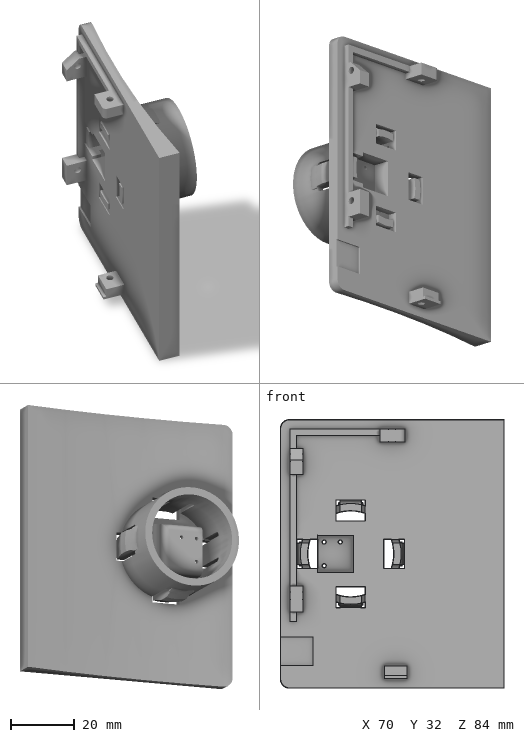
import cadquery as cq
import math

plate_width = 70.0
plate_height = 84.0
corner_radius = 2.9
cup_axis_thickness = 2.85
back_curve_radius = 289.8
recess_depth = 0.6
recess_width = 10.2
recess_bottom = 7.1
recess_top = 16.05

cup_x = 22.0
cup_z = plate_height / 2
cup_outer_diameter = 31.5
cup_inner_diameter = 26.9
cup_end = 25.0
arm_half_width = 3.4
arm_root_half_width = 3.8
arm_bulge_radius = 17.2
bulge_start = 17.5
bulge_flat_back = 11.5
bulge_flat_front = 7.5
slot_width = 1.4
slot_end = 14.95
arm_angles = [0, 90, 180, 270]

window_width = 9.1
window_inner = 10.3
window_outer = 16.8

pocket_left = cup_x - window_inner
pocket_right = 22.9
pocket_half_height = 5.8
box_wall = 2.1
box_edge_radius = 2.0
pocket_depth = 5.6
box_step_width = 2.3
box_step_back = 5.0
box_step_radius = 1.7
pin_hole_diameter = 1.2
pin_hole_places = [(13.7, 3.7), (18.7, 3.7), (13.7, -3.7)]

rib_inset = 3.0
rib_width = 2.0
rib_height = 1.85
left_rib_bottom = 20.8
lug_height = 6.7
lug_hole_diameter = 2.3
lug_hole_height = 3.0
side_lug_width = 4.0
side_lug_length = 8.1
lower_lug_bottom = 23.85
lower_lug_hole_z = 28.9
upper_lug_bottom = 66.9
upper_lug_hole_z = 72.1
upper_lug_bevel_height = 2.7
upper_lug_bevel_z = 71.3
top_lug_left = 31.1
top_lug_right = 39.0
end_lug_thickness = 3.95
top_lug_radius = 1.35
bottom_lug_left = 32.5
bottom_lug_right = 39.65
bottom_lug_height = 6.05
lip_height = 7.0
lip_thickness = 0.9
end_lug_hole_x = 34.95


def block(x_range, y_range, z_range):
    """Box between two X, two Y and two Z values."""
    size = [b - a for a, b in (x_range, y_range, z_range)]
    corner = (x_range[0], y_range[0], z_range[0])
    return cq.Workplane("XY").box(*size, centered=False).translate(corner)


def back_face_y(x):
    """Y of the hollow back face at a given X."""
    drop = math.sqrt(back_curve_radius**2 - (x - cup_x) ** 2)
    return cup_axis_thickness + back_curve_radius - drop


def around_cup(shape, angle):
    """Turn a shape about the cup axis."""
    return shape.rotate((cup_x, 0, cup_z), (cup_x, 1, cup_z), angle)


def window(angle):
    """Cutter for the window in front of one snap arm."""
    right_window = block(
        (cup_x + window_inner, cup_x + window_outer),
        (0, cup_end),
        (cup_z - window_width / 2, cup_z + window_width / 2),
    )
    return around_cup(right_window, angle)


def pocket():
    """Cutter for the square sensor pocket."""
    return block(
        (pocket_left, pocket_right),
        (0, pocket_depth),
        (cup_z - pocket_half_height, cup_z + pocket_half_height),
    )


def ribs():
    top = plate_height - rib_inset
    left_rib = block((rib_inset, rib_inset + rib_width), (-rib_height, 0), (left_rib_bottom, top))
    top_rib = block((rib_inset, top_lug_left), (-rib_height, 0), (top - rib_width, top))
    return left_rib.union(top_rib)


def side_lug(bottom, hole_z):
    """Lug on the left rib, drilled along X."""
    right = rib_inset + side_lug_width
    lug = block((rib_inset, right), (-lug_height, 0), (bottom, bottom + side_lug_length))
    hole = (
        cq.Workplane("YZ", origin=(rib_inset, -lug_hole_height, hole_z))
        .circle(lug_hole_diameter / 2)
        .extrude(side_lug_width)
    )
    return lug.cut(hole)


def upper_lug_bevel():
    """Cutter for the sloped top of the upper side lug."""
    top = upper_lug_bottom + side_lug_length
    return (
        cq.Workplane("YZ", origin=(rib_inset, 0, 0))
        .moveTo(-upper_lug_bevel_height, top)
        .lineTo(-lug_height, top)
        .lineTo(-lug_height, upper_lug_bevel_z)
        .close()
        .extrude(side_lug_width)
    )


def end_lug_hole():
    """Cutter along Z that drills the top and the bottom lug."""
    return (
        cq.Workplane("XY", origin=(end_lug_hole_x, -lug_hole_height, 0))
        .circle(lug_hole_diameter / 2)
        .extrude(plate_height)
    )


def top_lug():
    top = plate_height - rib_inset
    lug = block((top_lug_left, top_lug_right), (-lug_height, 0), (top - end_lug_thickness, top))
    return lug.edges("|Z and >X and <Y").fillet(top_lug_radius)


def bottom_lug():
    """Lug with a low lip along its bottom edge."""
    x_range = (bottom_lug_left, bottom_lug_right)
    body = block(x_range, (-bottom_lug_height, 0), (rib_inset, rib_inset + end_lug_thickness))
    lip = block(x_range, (-lip_height, 0), (rib_inset, rib_inset + lip_thickness))
    return body.union(lip)


def plain_plate():
    """Plate without openings: flat in front, hollow arc behind."""
    slab = (
        cq.Workplane("XY")
        .lineTo(0, back_face_y(0))
        .threePointArc((cup_x, cup_axis_thickness), (plate_width, back_face_y(plate_width)))
        .lineTo(plate_width, 0)
        .close()
        .extrude(plate_height)
    )
    return slab.edges("|Y and <X").fillet(corner_radius)


def make_plate():
    plate = plain_plate().cut(pocket())
    for angle in arm_angles:
        plate = plate.cut(window(angle))
    plate = plate.cut(block((0, recess_width), (0, recess_depth), (recess_bottom, recess_top)))
    end_lugs = top_lug().union(bottom_lug()).cut(end_lug_hole())
    lower_lug = side_lug(lower_lug_bottom, lower_lug_hole_z)
    upper_lug = side_lug(upper_lug_bottom, upper_lug_hole_z).cut(upper_lug_bevel())
    return plate.union(ribs()).union(end_lugs).union(lower_lug).union(upper_lug)


def make_sensor_box():
    """Box on the back face, with a low step on its right side and pin holes in its floor."""
    half_height = pocket_half_height + box_wall
    z_range = (cup_z - half_height, cup_z + half_height)
    box_right = pocket_right + box_wall
    box = block((pocket_left, box_right), (0, pocket_depth + box_wall), z_range)
    box = box.faces(">Y").edges("not <X").fillet(box_edge_radius)
    step = block((pocket_right, box_right + box_step_width), (0, box_step_back), z_range)
    step = step.edges("|Z and >X and >Y").fillet(box_step_radius)
    pin_holes = (
        cq.Workplane("XZ", origin=(0, 0, cup_z))
        .pushPoints(pin_hole_places)
        .circle(pin_hole_diameter / 2)
        .extrude(-cup_end)
    )
    return box.union(step).cut(pocket()).cut(pin_holes).cut(plain_plate())


def tube():
    """Plain cup wall, from the tips of the arms to the open end."""
    return (
        cq.Workplane("XZ", origin=(cup_x, 0, cup_z))
        .circle(cup_outer_diameter / 2)
        .circle(cup_inner_diameter / 2)
        .extrude(-cup_end)
    )


def arm_bulge(angle):
    """Raised catch on the outside of one arm, turned about the cup axis."""
    inner = (cup_inner_diameter + cup_outer_diameter) / 4
    outer = cup_outer_diameter / 2
    ring = (
        cq.Workplane("XY", origin=(cup_x, 0, cup_z))
        .moveTo(inner, 0)
        .lineTo(outer, 0)
        .lineTo(arm_bulge_radius, bulge_flat_front)
        .lineTo(arm_bulge_radius, bulge_flat_back)
        .lineTo(outer, bulge_start)
        .lineTo(inner, bulge_start)
        .close()
        .revolve(360, (0, 0, 0), (0, 1, 0))
    )
    arm_zone = block(
        (cup_x, cup_x + arm_bulge_radius),
        (0, cup_end),
        (cup_z - arm_root_half_width, cup_z + arm_root_half_width),
    )
    return around_cup(ring.intersect(arm_zone), angle)


def arm_slots(angle):
    """Cutter for the two round-ended slots beside one arm."""
    offset = arm_half_width + slot_width / 2
    round_centre = slot_end - slot_width / 2
    slots = (
        cq.Workplane("YZ", origin=(cup_x + window_inner, 0, cup_z))
        .pushPoints([(round_centre / 2, -offset), (round_centre / 2, offset)])
        .rect(round_centre, slot_width)
        .extrude(window_outer)
    )
    ends = (
        cq.Workplane("YZ", origin=(cup_x + window_inner, 0, cup_z))
        .pushPoints([(round_centre, -offset), (round_centre, offset)])
        .circle(slot_width / 2)
        .extrude(window_outer)
    )
    return around_cup(slots.union(ends), angle)


def make_cup(plate):
    """Cup that rests on the hollow back face, its arms free in the windows."""
    cup = tube()
    for angle in arm_angles:
        cup = cup.union(arm_bulge(angle))
    for angle in arm_angles:
        cup = cup.cut(arm_slots(angle))
    return cup.cut(plate)


plate = make_plate()
sensor_box = make_sensor_box()
cup = make_cup(plate)

result = cq.Compound.makeCompound([body.solids().val() for body in (plate, sensor_box, cup)])